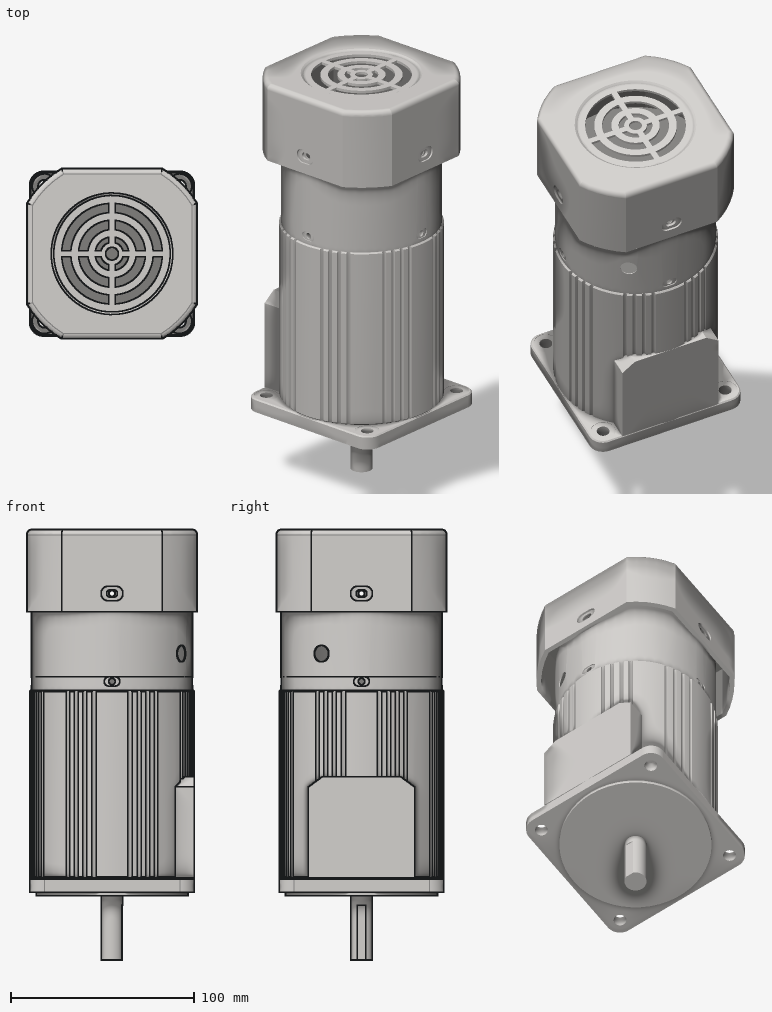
import cadquery as cq
import math

TOP_Z = 198.0
COVER_BOTTOM_Z = TOP_Z - 45.0
SLEEVE_TOP_Z = TOP_Z - 32.0
STATOR_TOP_Z = TOP_Z - 87.8
FLANGE_THICKNESS = 7.8
PILOT_HEIGHT = 2.0
SHAFT_LENGTH = 35.0

COVER_WIDTH = 93.0
COVER_CORNER_RADIUS = 54.0
COVER_WALL = 2.5
COVER_EDGE_RADIUS = 3.0
GRILLE_RECESS_RADIUS = 33.2
GRILLE_RECESS_FLOOR_RADIUS = 31.8
GRILLE_RECESS_DEPTH = 1.0
GRILLE_SPOKE_WIDTH = 3.3
GRILLE_HUB_HOLE_RADIUS = 3.5
GRILLE_RINGS = [(6.2, 9.2), (13.2, 18.3), (22.5, 27.5)]
SCREW_ANGLES = range(0, 360, 90)
COVER_SCREW_Z = TOP_Z - 35.0
COVER_POCKET = (12.0, 8.0)
COVER_POCKET_DEPTH = 1.0
COVER_SLOT = (6.0, 4.0)

SLEEVE_RADIUS = COVER_WIDTH / 2 - COVER_WALL
SLEEVE_WALL = 0.5
SLEEVE_BORE_RADIUS = SLEEVE_RADIUS - SLEEVE_WALL
SLEEVE_CUT_DEPTH = 5 * SLEEVE_WALL
SLEEVE_COVER_HOLE_DIAMETER = 3.3
CABLE_HOLE_DIAMETER = 9.0
CABLE_HOLE_Z = TOP_Z - 67.8
CABLE_HOLE_ANGLE = -30.0
SLEEVE_SCREW_Z = TOP_Z - 83.0
SLEEVE_SLOT = (8.5, 5.0)
SPIGOT_HEIGHT = 7.3

STATOR_RADIUS = 45.0
STATOR_END_CHAMFER = 0.7
FLANGE_WIDTH = 2 * STATOR_RADIUS
FLANGE_CORNER_RADIUS = 8.0
FLANGE_EDGE_CHAMFER = 0.7
MOUNT_CIRCLE_DIAMETER = 104.0
MOUNT_HOLE_DIAMETER = 7.0
SPOTFACE_DIAMETER = 13.5
SPOTFACE_DEPTH = 0.2
PILOT_DIAMETER = 83.0
GROOVE_GROUPS = 8
GROOVES_PER_GROUP = 4
GROOVE_PITCH_ANGLE = 6.6
GROOVE_RADIUS = 1.15
SPIGOT_HOLE_DIAMETER = 3.5
SPIGOT_HOLE_DEPTH = 6.0
BOX_HALF_WIDTH = 29.0
BOX_TOP_Z = TOP_Z - 135.0
BOX_CHAMFER_RUN = 7.5
BOX_CHAMFER_DROP = 5.5
SHAFT_DIAMETER = 12.0
SHAFT_FLAT_X = 5.5
SHAFT_FLAT_LENGTH = 30.0


def cylinder(radius, bottom, top):
    return cq.Workplane("XY").workplane(offset=bottom).circle(radius).extrude(top - bottom)


def radial_plane(angle, radius, height):
    """Workplane facing outward at an angle about Z, with its local X running level."""
    turn = math.radians(angle)
    outward = (math.cos(turn), math.sin(turn), 0)
    level = (-math.sin(turn), math.cos(turn), 0)
    origin = (radius * outward[0], radius * outward[1], height)
    return cq.Workplane(cq.Plane(origin=origin, xDir=level, normal=outward))


def trimmed_square(width, corner_radius, bottom, top):
    square = cq.Workplane("XY").workplane(offset=bottom).rect(width, width).extrude(top - bottom)
    return square.intersect(cylinder(corner_radius, bottom, top))


def grille_opening(floor_z):
    """Cutter for the slotted rings and the hub hole of the air grille."""
    depth = 2 * COVER_WALL
    base = floor_z - depth / 2
    rings = cq.Workplane("XY")
    for inner, outer in GRILLE_RINGS:
        ring = cq.Workplane("XY").workplane(offset=base).circle(outer).circle(inner).extrude(depth)
        rings = rings.union(ring)
    for length, width in ((COVER_WIDTH, GRILLE_SPOKE_WIDTH), (GRILLE_SPOKE_WIDTH, COVER_WIDTH)):
        spoke = cq.Workplane("XY").workplane(offset=base).rect(length, width).extrude(depth)
        rings = rings.cut(spoke)
    return rings.union(cylinder(GRILLE_HUB_HOLE_RADIUS, base, base + depth))


def make_cover():
    """Hollow fan cover, open below, with an air grille sunk into its top."""
    cover = trimmed_square(COVER_WIDTH, COVER_CORNER_RADIUS, COVER_BOTTOM_Z, TOP_Z)
    cover = cover.faces(">Z").edges().fillet(COVER_EDGE_RADIUS)
    cover = cover.cut(trimmed_square(COVER_WIDTH - 2 * COVER_WALL, COVER_CORNER_RADIUS - COVER_WALL,
                                     COVER_BOTTOM_Z, TOP_Z - COVER_WALL))
    recess_floor_z = TOP_Z - GRILLE_RECESS_DEPTH
    recess = (
        cq.Workplane("XY").workplane(offset=recess_floor_z).circle(GRILLE_RECESS_FLOOR_RADIUS)
        .workplane(offset=GRILLE_RECESS_DEPTH).circle(GRILLE_RECESS_RADIUS).loft()
    )
    cover = cover.cut(recess).cut(grille_opening(recess_floor_z))
    for angle in SCREW_ANGLES:
        face = radial_plane(angle, COVER_WIDTH / 2, COVER_SCREW_Z)
        cover = cover.cut(face.slot2D(*COVER_POCKET).extrude(-COVER_POCKET_DEPTH))
        cover = cover.cut(face.slot2D(*COVER_SLOT).extrude(-COVER_WALL))
    return cover


def make_sleeve():
    """Thin cup closed at the top, fitted inside the cover and over the motor spigot."""
    sleeve = cylinder(SLEEVE_RADIUS, STATOR_TOP_Z, SLEEVE_TOP_Z)
    sleeve = sleeve.cut(cylinder(SLEEVE_BORE_RADIUS, STATOR_TOP_Z, SLEEVE_TOP_Z - SLEEVE_WALL))
    for angle in SCREW_ANGLES:
        upper = radial_plane(angle, SLEEVE_RADIUS, COVER_SCREW_Z)
        lower = radial_plane(angle, SLEEVE_RADIUS, SLEEVE_SCREW_Z)
        sleeve = sleeve.cut(upper.circle(SLEEVE_COVER_HOLE_DIAMETER / 2).extrude(-SLEEVE_CUT_DEPTH))
        sleeve = sleeve.cut(lower.slot2D(*SLEEVE_SLOT).extrude(SLEEVE_CUT_DEPTH, both=True))
    cable_side = radial_plane(CABLE_HOLE_ANGLE, SLEEVE_RADIUS, CABLE_HOLE_Z)
    return sleeve.cut(cable_side.circle(CABLE_HOLE_DIAMETER / 2).extrude(-SLEEVE_CUT_DEPTH))


def make_stator():
    """Finned stator: groups of round grooves, with a plain strip between groups."""
    stator = cylinder(STATOR_RADIUS, FLANGE_THICKNESS, STATOR_TOP_Z)
    stator = stator.faces("|Z").edges().chamfer(STATOR_END_CHAMFER)
    groove = cylinder(GROOVE_RADIUS, FLANGE_THICKNESS, STATOR_TOP_Z).translate((STATOR_RADIUS, 0, 0))
    group_angle = 360 / GROOVE_GROUPS
    for group in range(GROOVE_GROUPS):
        middle = (group + 0.5) * group_angle
        for index in range(GROOVES_PER_GROUP):
            angle = middle + (index - (GROOVES_PER_GROUP - 1) / 2) * GROOVE_PITCH_ANGLE
            stator = stator.cut(groove.rotate((0, 0, 0), (0, 0, 1), angle))
    return stator


def make_flange():
    """Square mounting flange with its pilot below and the round seat of the stator above."""
    hole_offset = MOUNT_CIRCLE_DIAMETER / 2 / math.sqrt(2)
    corners = [(x, y) for x in (-hole_offset, hole_offset) for y in (-hole_offset, hole_offset)]
    flange = (
        cq.Workplane("XY").rect(FLANGE_WIDTH, FLANGE_WIDTH).extrude(FLANGE_THICKNESS)
        .edges("|Z").fillet(FLANGE_CORNER_RADIUS)
        .faces(">Z").edges().chamfer(FLANGE_EDGE_CHAMFER)
    )
    spotfaces = (
        cq.Workplane("XY").workplane(offset=FLANGE_THICKNESS).pushPoints(corners)
        .circle(SPOTFACE_DIAMETER / 2).extrude(-SPOTFACE_DEPTH)
    )
    holes = (
        cq.Workplane("XY").workplane(offset=-PILOT_HEIGHT).pushPoints(corners)
        .circle(MOUNT_HOLE_DIAMETER / 2).extrude(PILOT_HEIGHT + FLANGE_THICKNESS)
    )
    seat_bottom_z = FLANGE_THICKNESS - FLANGE_EDGE_CHAMFER
    seat = cylinder(STATOR_RADIUS, seat_bottom_z, FLANGE_THICKNESS)
    pilot = cylinder(PILOT_DIAMETER / 2, -PILOT_HEIGHT, 0)
    return flange.union(seat).union(pilot).cut(spotfaces).cut(holes)


def make_terminal_box():
    """Box on the +X side of the stator, its upper corners sloped, standing on the flange."""
    chamfer_z = BOX_TOP_Z - BOX_CHAMFER_DROP
    ridge = BOX_HALF_WIDTH - BOX_CHAMFER_RUN
    return (
        cq.Workplane("YZ")
        .polyline([
            (-BOX_HALF_WIDTH, FLANGE_THICKNESS),
            (-BOX_HALF_WIDTH, chamfer_z),
            (-ridge, BOX_TOP_Z),
            (ridge, BOX_TOP_Z),
            (BOX_HALF_WIDTH, chamfer_z),
            (BOX_HALF_WIDTH, FLANGE_THICKNESS),
        ])
        .close().extrude(STATOR_RADIUS)
    )


def make_shaft():
    """Output shaft with a flat on its +X side."""
    end_z = -PILOT_HEIGHT - SHAFT_LENGTH
    shaft = cylinder(SHAFT_DIAMETER / 2, end_z, 0)
    flat = (
        cq.Workplane("XY").workplane(offset=end_z).center(SHAFT_FLAT_X + SHAFT_DIAMETER / 2, 0)
        .rect(SHAFT_DIAMETER, SHAFT_DIAMETER).extrude(SHAFT_FLAT_LENGTH)
    )
    return shaft.cut(flat)


def make_motor():
    """Stator, flange, terminal box, shaft and the spigot that carries the sleeve."""
    spigot = cylinder(SLEEVE_BORE_RADIUS, STATOR_TOP_Z, STATOR_TOP_Z + SPIGOT_HEIGHT)
    for angle in SCREW_ANGLES:
        side = radial_plane(angle, SLEEVE_BORE_RADIUS, SLEEVE_SCREW_Z)
        spigot = spigot.cut(side.circle(SPIGOT_HOLE_DIAMETER / 2).extrude(-SPIGOT_HOLE_DEPTH))
    motor = make_stator().union(make_flange()).union(make_terminal_box())
    return motor.union(spigot).union(make_shaft())


cover = make_cover()
sleeve = make_sleeve()
motor = make_motor()

result = cq.Compound.makeCompound([cover.val(), sleeve.val(), motor.val()])